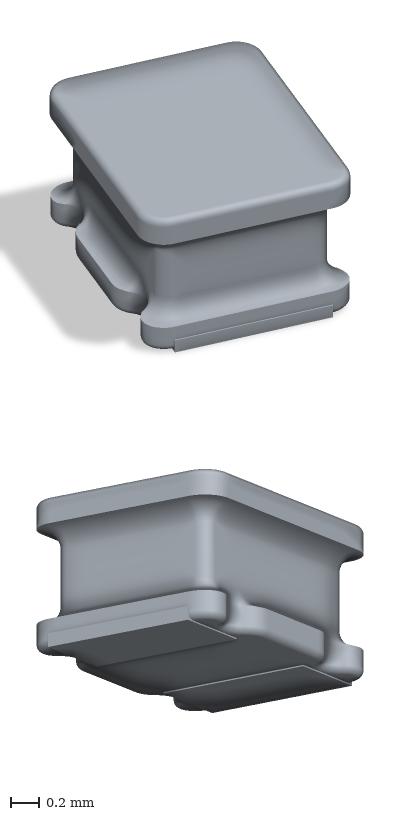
import cadquery as cq
import math

LENGTH = 2.0
WIDTH = 1.6
CORNER_R = 0.2
FLANGE_T = 0.2
RIM_R = 0.05
BASE_Z = 0.01
TOP_Z = 1.109

FLANGE_OVERHANG = 0.15
CORE_CORNER_R = 0.1
BLEND_R = 0.14

NOTCH_X = 0.6
NOTCH_R = FLANGE_OVERHANG
MID_LOBE_SLOPE = 0.17

PAD_OUTER_X = 1.01
PAD_LENGTH = 0.6
PAD_WIDTH = 1.2
PAD_HEIGHT = 0.1

CLEARANCE = 0.02

half_length = LENGTH / 2
half_width = WIDTH / 2
core_length = LENGTH - 2 * FLANGE_OVERHANG
core_width = WIDTH - 2 * FLANGE_OVERHANG
foot_top = BASE_Z + FLANGE_T
cap_bottom = TOP_Z - FLANGE_T


def rounded_block(length, width, z_low, z_high, corner_r):
    block = cq.Workplane("XY").workplane(offset=z_low).rect(length, width).extrude(z_high - z_low)
    return block.edges("|Z").fillet(corner_r)


def point_on(center, radius, degrees):
    angle = math.radians(degrees)
    return (center[0] + radius * math.cos(angle), center[1] + radius * math.sin(angle))


def direction(start, end):
    return math.degrees(math.atan2(end[1] - start[1], end[0] - start[0]))


def cut_all_quarters(body, cutter):
    """Cut a shape of the +X +Y quarter, and its mirror images, from the body."""
    other_end = cutter.mirror("YZ")
    for quarter in (cutter, other_end):
        body = body.cut(quarter).cut(quarter.mirror("XZ"))
    return body


def notch_cutter():
    """Material outside the lobed outline of the lower flange, in the +X +Y quarter."""
    corner = (half_length - CORNER_R, half_width - CORNER_R)
    notch = (NOTCH_X, half_width)
    reach = CORNER_R + NOTCH_R
    mid_lobe = (NOTCH_X - math.sqrt(reach**2 - CORNER_R**2), corner[1])
    gap = corner[0] - NOTCH_X
    shift = (reach**2 - gap**2 - CORNER_R**2) / (2 * (gap - CORNER_R) + 2 * math.sqrt(2) * reach)
    end_lobe = (corner[0] + shift, corner[1] + shift)
    end_lobe_r = CORNER_R - shift * math.sqrt(2)

    mid_angle = direction(mid_lobe, notch)
    end_angle = direction(end_lobe, notch)
    join = point_on(end_lobe, end_lobe_r, 45)
    outline = (
        cq.Workplane("XY")
        .workplane(offset=BASE_Z)
        .moveTo(mid_lobe[0], half_width)
        .threePointArc(
            point_on(mid_lobe, CORNER_R, (90 + mid_angle) / 2),
            point_on(mid_lobe, CORNER_R, mid_angle),
        )
        .threePointArc(point_on(notch, NOTCH_R, -90), point_on(end_lobe, end_lobe_r, end_angle))
        .threePointArc(point_on(end_lobe, end_lobe_r, (45 + end_angle) / 2), join)
        .lineTo(join[0], half_width + CLEARANCE)
        .lineTo(mid_lobe[0], half_width + CLEARANCE)
        .close()
    )
    return outline.extrude(FLANGE_T + BLEND_R)


def sinking_blend(slope_length, side):
    """Blend that sinks along an arch from full height down to the notch."""
    arch_r = (slope_length**2 + BLEND_R**2) / (2 * BLEND_R)
    low = arch_r - BLEND_R
    core_y = core_width / 2
    outer_y = core_y + BLEND_R
    middle = point_on((outer_y, arch_r), BLEND_R, 225)
    profile = (
        cq.Workplane("YZ")
        .moveTo(core_y - CLEARANCE, 0)
        .lineTo(core_y - CLEARANCE, arch_r)
        .lineTo(core_y, arch_r)
        .threePointArc(middle, (outer_y, low))
        .lineTo(outer_y, 0)
        .close()
    )
    arch = profile.revolve(360, (0, 0, 0), (1, 0, 0))
    return arch.translate((NOTCH_X + side * slope_length, 0, foot_top - low))


def blend_relief():
    """Material removed from the lower blend around the notch, in the +X +Y quarter."""
    end_lobe_slope = core_length / 2 - CORE_CORNER_R - NOTCH_X
    relief = cq.Workplane("XY").box(
        MID_LOBE_SLOPE + end_lobe_slope, FLANGE_OVERHANG, BLEND_R, centered=False
    )
    relief = relief.translate((NOTCH_X - MID_LOBE_SLOPE, core_width / 2, foot_top))
    return relief.cut(sinking_blend(MID_LOBE_SLOPE, -1)).cut(sinking_blend(end_lobe_slope, 1))


def plain_drum():
    """Core between two plain flanges, with concave blends where they meet."""
    drum = (
        rounded_block(core_length, core_width, BASE_Z, TOP_Z, CORE_CORNER_R)
        .union(rounded_block(LENGTH, WIDTH, BASE_Z, foot_top, CORNER_R))
        .union(rounded_block(LENGTH, WIDTH, cap_bottom, TOP_Z, CORNER_R))
    )
    reach_x = core_length / 2 + CLEARANCE
    reach_y = core_width / 2 + CLEARANCE
    core_zone = cq.selectors.BoxSelector(
        (-reach_x, -reach_y, foot_top + CLEARANCE), (reach_x, reach_y, cap_bottom - CLEARANCE)
    )
    return drum.faces(core_zone).edges("not |Z").fillet(BLEND_R)


def terminal():
    pad = cq.Workplane("XY").box(PAD_LENGTH, PAD_WIDTH, PAD_HEIGHT, centered=(False, True, False))
    return pad.translate((PAD_OUTER_X - PAD_LENGTH, 0, 0))


drum = plain_drum()
drum = cut_all_quarters(drum, blend_relief())
drum = cut_all_quarters(drum, notch_cutter())
drum = drum.faces(">Z or <Z").edges().fillet(RIM_R)

result = drum.union(terminal()).union(terminal().mirror("YZ"))